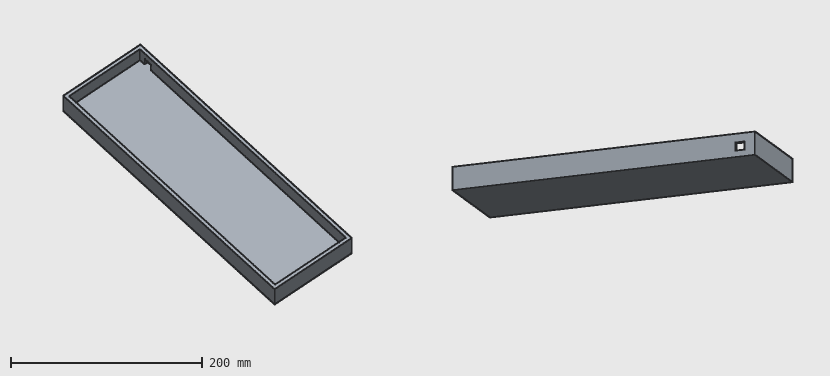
import cadquery as cq

length = 340.5
width = 106.0
height = 25.5
wall = 4.5
floor = 7.0

opening_length = 10.2
opening_height = 9.0
opening_end_gap = 12.0
opening_bottom = floor


def tray():
    """Open box with its base on Z = 0."""
    outer = cq.Workplane("XY").box(length, width, height, centered=(True, True, False))
    pocket = (
        cq.Workplane("XY")
        .workplane(offset=floor)
        .rect(length - 2 * wall, width - 2 * wall)
        .extrude(height - floor)
    )
    return outer.cut(pocket)


def wall_opening():
    """Block that fills the opening across the thickness of the +Y wall."""
    return (
        cq.Workplane("XY")
        .box(opening_length, wall, opening_height, centered=False)
        .translate((-length / 2 + opening_end_gap, width / 2 - wall, opening_bottom))
    )


result = tray().cut(wall_opening())